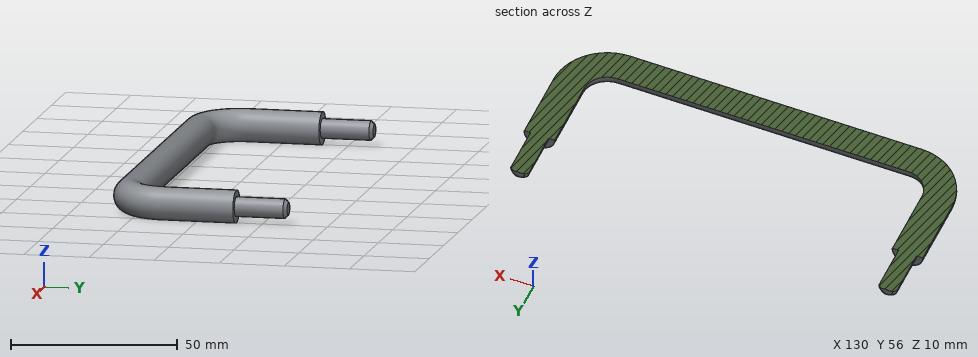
import cadquery as cq

overall_length = 130.0
overall_depth = 56.0
bar_diameter = 10.0
inner_bend_radius = 7.5
stud_diameter = 6.0
stud_length = 16.0
stud_chamfer = 1.0

bar_radius = bar_diameter / 2
bend_radius = inner_bend_radius + bar_radius
leg_x = overall_length / 2 - bar_radius
grip_half_length = leg_x - bend_radius
leg_end_y = overall_depth - stud_length
grip_y = bar_radius
bend_end_y = grip_y + bend_radius


def make_handle():
    """Sweep the round bar along a U-shaped path with tangent quarter bends."""
    path = (
        cq.Workplane("XY")
        .moveTo(-leg_x, leg_end_y)
        .lineTo(-leg_x, bend_end_y)
        .tangentArcPoint((-grip_half_length, grip_y), relative=False)
        .lineTo(grip_half_length, grip_y)
        .tangentArcPoint((leg_x, bend_end_y), relative=False)
        .lineTo(leg_x, leg_end_y)
    )
    section = cq.Workplane("XZ", origin=(-leg_x, leg_end_y, 0)).circle(bar_radius)
    return section.sweep(path)


def make_stud(x):
    """Mounting stud on a leg end, chamfered at its free tip."""
    return (
        cq.Workplane("XZ", origin=(x, leg_end_y, 0))
        .circle(stud_diameter / 2)
        .extrude(-stud_length)
        .faces(">Y")
        .chamfer(stud_chamfer)
    )


result = make_handle()
for stud_x in (-leg_x, leg_x):
    result = result.union(make_stud(stud_x))